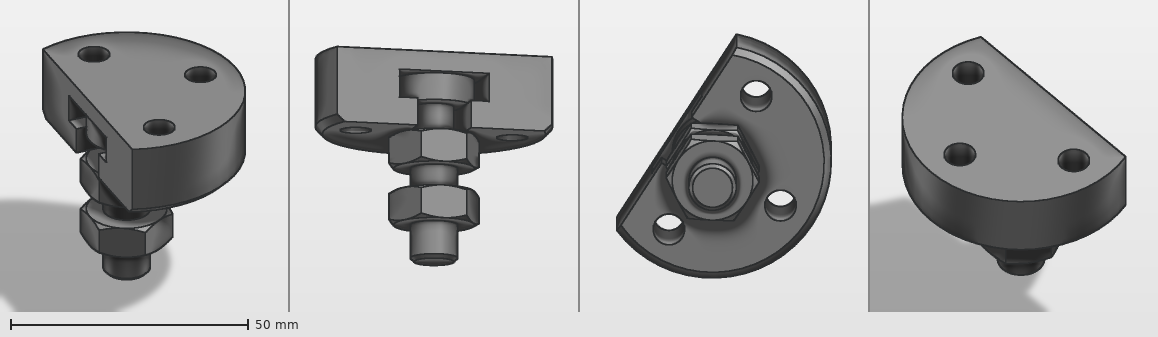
import cadquery as cq
import math


housing_diameter = 50.0
housing_radius = housing_diameter / 2
housing_height = 16.0
housing_depth = 34.0
front_y = housing_radius - housing_depth
housing_chamfer = 1.5

mount_hole_diameter = 6.6
mount_hole_radius = 17.0
mount_hole_angles = (0, 90, 180)

slot_head_width = 19.5
slot_neck_width = 11.6
slot_shelf_z = 5.8
slot_head_height = 6.0

head_diameter = 17.0
head_height = 5.7
neck_diameter = 8.4
shank_diameter = 10.0
shank_length = 20.0
shank_chamfer = 0.8

hex_across_flats = 17.0
hex_across_corners = hex_across_flats / math.cos(math.radians(30))
hex_height = 7.0
hex_chamfer_angle = 30.0
fixed_hex_top_z = -0.4
fixed_hex_bottom_z = fixed_hex_top_z - hex_height
shank_end_z = fixed_hex_bottom_z - shank_length
nut_top_z = -12.5


def cylinder(diameter, bottom_z, top_z):
    """Round bar on the stud axis."""
    return cq.Workplane("XY").workplane(offset=bottom_z).circle(diameter / 2).extrude(top_z - bottom_z)


def slot_cutter(width, bottom_z, top_z):
    """Slot from the front face to the stud axis, with a rounded end."""
    straight = cq.Workplane("XY").box(width, -front_y, top_z - bottom_z, centered=(True, False, False))
    straight = straight.translate((0, front_y, bottom_z))
    return straight.union(cylinder(width, bottom_z, top_z))


def chamfered_hexagon(top_z):
    """Hexagon with corners on the X axis, its corners bevelled at both ends by a cone."""
    corner_radius = hex_across_corners / 2
    face_radius = hex_across_flats / 2
    bevel_height = (corner_radius - face_radius) * math.tan(math.radians(hex_chamfer_angle))
    envelope = (
        cq.Workplane("XZ")
        .moveTo(0, 0)
        .lineTo(face_radius, 0)
        .lineTo(corner_radius, bevel_height)
        .lineTo(corner_radius, hex_height - bevel_height)
        .lineTo(face_radius, hex_height)
        .lineTo(0, hex_height)
        .close()
        .revolve(360, (0, 0), (0, 1))
    )
    prism = cq.Workplane("XY").polygon(6, hex_across_corners).extrude(hex_height)
    return prism.intersect(envelope).translate((0, 0, top_z - hex_height))


def make_housing():
    block = cylinder(housing_diameter, 0, housing_height).faces("<Z").edges().chamfer(housing_chamfer)
    front_keep = cq.Workplane("XY").box(
        housing_diameter, housing_depth, housing_height, centered=(True, False, False)
    )
    block = block.intersect(front_keep.translate((0, front_y, 0)))
    for angle in mount_hole_angles:
        hole_x = mount_hole_radius * math.cos(math.radians(angle))
        hole_y = mount_hole_radius * math.sin(math.radians(angle))
        hole = cylinder(mount_hole_diameter, 0, housing_height)
        block = block.cut(hole.translate((hole_x, hole_y, 0)))
    block = block.cut(slot_cutter(slot_neck_width, 0, slot_shelf_z))
    return block.cut(slot_cutter(slot_head_width, slot_shelf_z, slot_shelf_z + slot_head_height))


def make_stud():
    head = cylinder(head_diameter, slot_shelf_z, slot_shelf_z + head_height)
    neck = cylinder(neck_diameter, fixed_hex_top_z, slot_shelf_z)
    shank = cylinder(shank_diameter, shank_end_z, fixed_hex_bottom_z)
    shank = shank.faces("<Z").edges().chamfer(shank_chamfer)
    return chamfered_hexagon(fixed_hex_top_z).union(neck).union(head).union(shank)


def make_nut():
    bore = cylinder(shank_diameter, nut_top_z - hex_height, nut_top_z)
    return chamfered_hexagon(nut_top_z).cut(bore)


housing = make_housing()
stud = make_stud()
nut = make_nut()

result = cq.Compound.makeCompound([housing.val(), stud.val(), nut.val()])